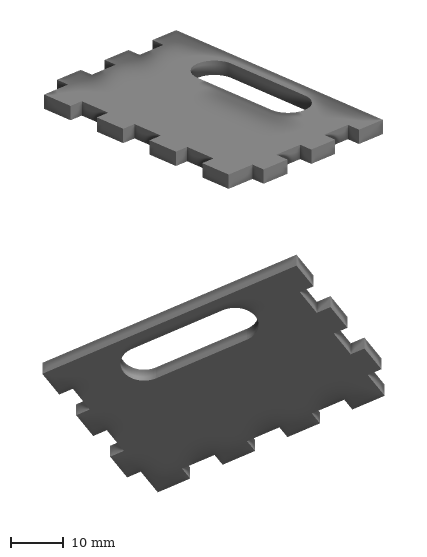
import cadquery as cq

width = 56.0
height = 38.0
thickness = 3.0
joint_depth = thickness

side_segments = 6
side_pitch = height / side_segments

bottom_segments = 7
bottom_width = width - 2 * joint_depth
bottom_pitch = bottom_width / bottom_segments

slot_length = 29.0
slot_width = 9.0
slot_top_margin = 3.0
slot_center_y = height / 2 - slot_top_margin - slot_width / 2


def make_panel():
    return cq.Workplane("XY").box(width, height, thickness, centered=(True, True, False))


def cut_side_notches(panel):
    """Remove every second segment of both side edges, including the bottom corners."""
    notch_x = width / 2 - joint_depth / 2
    centers = []
    for segment in range(1, side_segments, 2):
        y = height / 2 - (segment + 0.5) * side_pitch
        centers += [(-notch_x, y), (notch_x, y)]
    notches = cq.Workplane("XY").pushPoints(centers).rect(joint_depth, side_pitch).extrude(thickness)
    return panel.cut(notches)


def cut_bottom_notches(panel):
    """Remove every second segment of the bottom edge, leaving fingers at both ends."""
    notch_y = -height / 2 + joint_depth / 2
    centers = []
    for segment in range(1, bottom_segments, 2):
        x = -bottom_width / 2 + (segment + 0.5) * bottom_pitch
        centers.append((x, notch_y))
    notches = cq.Workplane("XY").pushPoints(centers).rect(bottom_pitch, joint_depth).extrude(thickness)
    return panel.cut(notches)


def cut_handle_slot(panel):
    """Cut the round-ended handle slot through the panel near its top edge."""
    slot = cq.Workplane("XY").center(0, slot_center_y).slot2D(slot_length, slot_width).extrude(thickness)
    return panel.cut(slot)


result = make_panel()
result = cut_side_notches(result)
result = cut_bottom_notches(result)
result = cut_handle_slot(result)